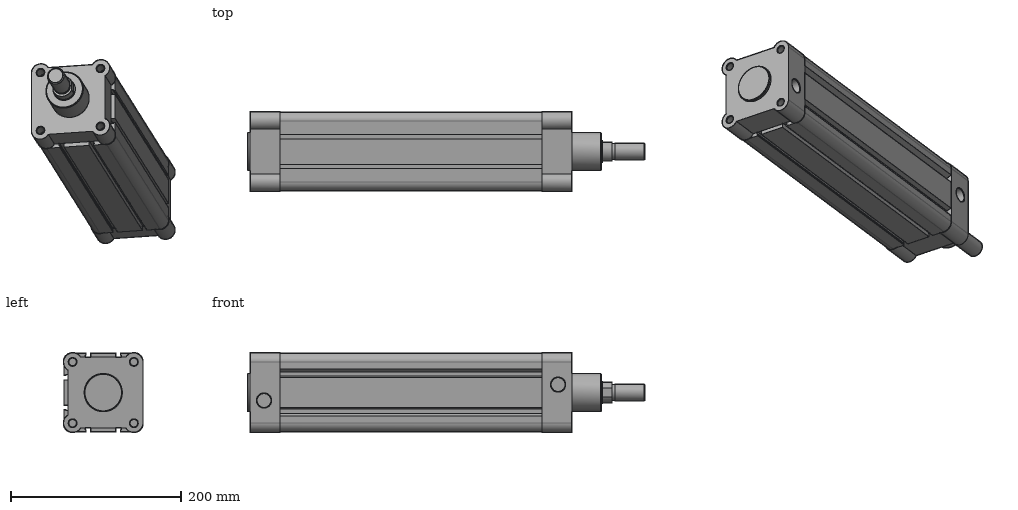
import cadquery as cq

TOTAL_LENGTH = 468
SPIGOT_LENGTH = 3.5
CAP_LENGTH = 35.0
BARREL_LENGTH = 308.5
COLLAR_LENGTH = 34.5
WIPER_LENGTH = 1.5
SHOULDER_LENGTH = 11.0
NECK_LENGTH = 3.5

REAR_CAP_X = SPIGOT_LENGTH
BARREL_X = REAR_CAP_X + CAP_LENGTH
FRONT_CAP_X = BARREL_X + BARREL_LENGTH
COLLAR_X = FRONT_CAP_X + CAP_LENGTH
WIPER_X = COLLAR_X + COLLAR_LENGTH
ROD_X = WIPER_X + WIPER_LENGTH
NECK_X = ROD_X + SHOULDER_LENGTH
THREAD_X = NECK_X + NECK_LENGTH

CAP_WIDTH = 94.0
LOBE_RADIUS = 22.0 / 2
CORNER_OFFSET = CAP_WIDTH / 2 - LOBE_RADIUS
CORE_HALF = 41.5
SCREW_HOLE_DIAMETER = 9.0
SCREW_HOLE_DEPTH = 18.5
PORT_DIAMETER = 16.5
PORT_DEPTH = 14.0
PORT_HEIGHT = 9.5
PORT_INSET = 16.5
HOLE_CHAMFER = 0.7
COLLAR_DIAMETER = 45.0
WIPER_DIAMETER = 26.0
RIM_CHAMFER = 1.0

BARREL_HALF = 46.5
SLOT_DEPTH = 6.0
SLOT_INNER = 15.0
SLOT_MOUTH_OUTER = 20.0
SLOT_FLOOR_OUTER = 21.0
LIP_THICKNESS = 2.5
FRONT_SLOT_INNER = 18.0
FRONT_SLOT_OUTER = 27.5
FRONT_FLOOR_INNER = 19.0
FRONT_FLOOR_OUTER = 24.5

ROD_DIAMETER = 25.0
FLATS_WIDTH = 22.5
NECK_DIAMETER = 19.0
THREAD_DIAMETER = 20.0
THREAD_CHAMFER = 1.5


def section(x):
    """Workplane across the axis at station x: local x is +Y, local y is +Z, extrusion is +X."""
    return cq.Workplane("YZ", origin=(x, 0, 0))


def disc(x, diameter, length):
    return section(x).circle(diameter / 2).extrude(length)


def hole_cutter(mouth, direction, diameter, depth):
    """Blind round hole with a chamfered mouth, running from the mouth along the direction."""
    axis = cq.Vector(*direction)
    drill = cq.Solid.makeCylinder(diameter / 2, depth, mouth, axis)
    chamfer = cq.Solid.makeCone(diameter / 2 + HOLE_CHAMFER, diameter / 2, HOLE_CHAMFER, mouth, axis)
    return drill.fuse(chamfer)


def make_cap(x, outer_x, inward, port_z):
    """Cap with four round lobes, filled flush on the -Y side, with screw holes and an air port.

    The screw holes start at outer_x; inward is +1 or -1, the X direction from there into the cap.
    """
    corners = [(y, z) for y in (-CORNER_OFFSET, CORNER_OFFSET) for z in (-CORNER_OFFSET, CORNER_OFFSET)]
    core = section(x).rect(2 * CORE_HALF, 2 * CORE_HALF).extrude(CAP_LENGTH)
    lobes = section(x).pushPoints(corners).circle(LOBE_RADIUS).extrude(CAP_LENGTH)
    flush_side = (
        section(x)
        .center(-CAP_WIDTH / 4, 0)
        .rect(CAP_WIDTH / 2, 2 * CORNER_OFFSET)
        .extrude(CAP_LENGTH)
    )
    cap = core.union(flush_side).union(lobes)
    for y, z in corners:
        mouth = cq.Vector(outer_x, y, z)
        cap = cap.cut(hole_cutter(mouth, (inward, 0, 0), SCREW_HOLE_DIAMETER, SCREW_HOLE_DEPTH))
    port_mouth = cq.Vector(outer_x + inward * PORT_INSET, -CAP_WIDTH / 2, port_z)
    return cap.cut(hole_cutter(port_mouth, (0, 1, 0), PORT_DIAMETER, PORT_DEPTH))


def make_rear_cap():
    cap = make_cap(REAR_CAP_X, REAR_CAP_X, 1, -PORT_HEIGHT)
    spigot = disc(0, COLLAR_DIAMETER, SPIGOT_LENGTH).faces("<X").chamfer(RIM_CHAMFER)
    return cap.union(spigot)


def make_front_cap():
    cap = make_cap(FRONT_CAP_X, COLLAR_X, -1, PORT_HEIGHT)
    collar = disc(COLLAR_X, COLLAR_DIAMETER, COLLAR_LENGTH).faces(">X").chamfer(RIM_CHAMFER)
    wiper = disc(WIPER_X, WIPER_DIAMETER, WIPER_LENGTH)
    return cap.union(collar).union(wiper)


def slot_pair(profile, turn):
    """Two mirrored slots along the +Z face of the barrel, turned about X onto another face."""
    slot = section(BARREL_X).polyline(profile).close().extrude(BARREL_LENGTH)
    pair = slot.union(slot.mirror("XZ"))
    return pair.rotate((0, 0, 0), (1, 0, 0), turn)


def make_barrel():
    barrel = section(BARREL_X).rect(2 * BARREL_HALF, 2 * BARREL_HALF).extrude(BARREL_LENGTH)
    barrel = barrel.edges("|X").fillet(BARREL_HALF - CORNER_OFFSET)

    slot_floor = BARREL_HALF - SLOT_DEPTH
    lip_underside = BARREL_HALF - LIP_THICKNESS
    hooked_profile = [
        (SLOT_INNER, BARREL_HALF),
        (SLOT_INNER, slot_floor),
        (SLOT_FLOOR_OUTER, slot_floor),
        (SLOT_FLOOR_OUTER, lip_underside),
        (SLOT_MOUTH_OUTER, lip_underside),
        (SLOT_MOUTH_OUTER, BARREL_HALF),
    ]
    for turn in (0, 180, -90):
        barrel = barrel.cut(slot_pair(hooked_profile, turn))

    tapered_profile = [
        (FRONT_SLOT_INNER, BARREL_HALF),
        (FRONT_FLOOR_INNER, slot_floor),
        (FRONT_FLOOR_OUTER, slot_floor),
        (FRONT_SLOT_OUTER, BARREL_HALF),
    ]
    return barrel.cut(slot_pair(tapered_profile, 90))


def make_rod():
    shoulder = disc(ROD_X, ROD_DIAMETER, SHOULDER_LENGTH)
    flats = section(ROD_X).rect(FLATS_WIDTH, ROD_DIAMETER).extrude(SHOULDER_LENGTH)
    neck = disc(NECK_X, NECK_DIAMETER, NECK_LENGTH)
    thread = disc(THREAD_X, THREAD_DIAMETER, TOTAL_LENGTH - THREAD_X).faces(">X").chamfer(THREAD_CHAMFER)
    return shoulder.intersect(flats).union(neck).union(thread)


rear_cap = make_rear_cap()
barrel = make_barrel()
front_cap = make_front_cap()
rod = make_rod()

result = cq.Compound.makeCompound([rear_cap.val(), barrel.val(), front_cap.val(), rod.val()])